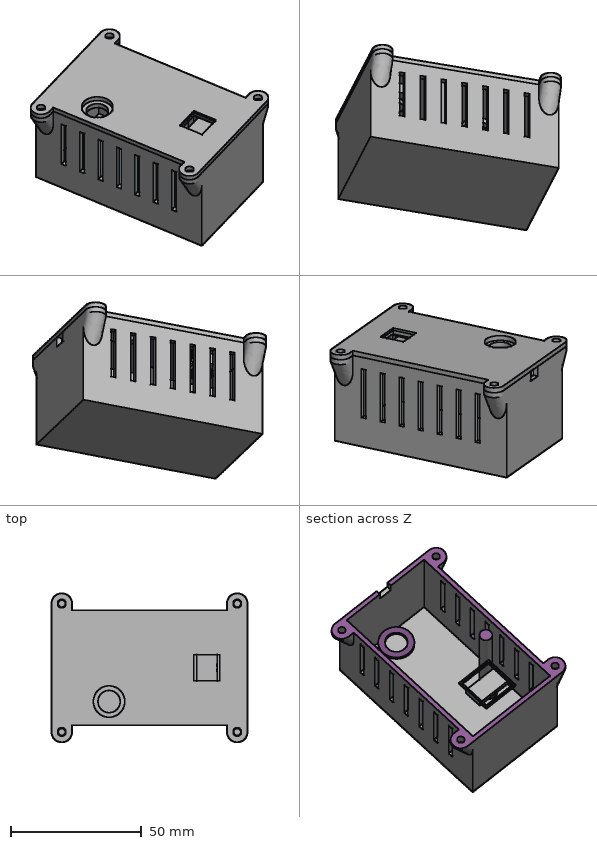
import cadquery as cq
import math

case_length = 75.0
case_width = 44.0
total_width = 57.0
total_height = 39.0
wall = 2.0
floor = 2.0
lid_thickness = 1.95
case_height = total_height - lid_thickness

lug_radius = 4.0
lug_height = 2.0
lug_x = case_length / 2 - lug_radius
lug_y = total_width / 2 - lug_radius
lug_slope = 60.0
lid_screw_diameter = 3.2
case_screw_diameter = 2.7
case_screw_depth = 4.9

slot_count = 7
slot_span = 49.8
slot_pitch = slot_span / (slot_count - 1)
slot_width = 2.0
slot_height = 20.1
slot_bottom = 12.0

notch_width = 5.6
notch_depth = 4.05

post_diameter = 5.0
post_x = 5.4
post_y = 14.5

button_x = -15.45
button_y = -12.9
button_diameter = 12.0
collar_bore = 8.5
collar_height = 2.0
collar_wall = 1.0
collar_diameter = button_diameter + 2 * collar_wall

window_x = 21.9
window_size = 10.0
lid_lip = 1.0
insert_top = total_height - lid_lip
insert_size = 15.75
insert_frame_thickness = 1.5
insert_skirt_height = 2.0
insert_skirt_bottom = case_height - insert_skirt_height
insert_draft = 9.0
insert_skirt_wall = 0.75
bridge_width = 7.9
bridge_thickness = 2.0
stem_diameter = bridge_width
stem_bottom = 31.0


def block(size_x, size_y, bottom, top, x=0.0, y=0.0):
    """Upright rectangular block centred on (x, y)."""
    height = top - bottom
    return cq.Workplane("XY", origin=(x, y, bottom)).rect(size_x, size_y).extrude(height)


def cylinder(diameter, bottom, top, x, y):
    """Upright cylinder centred on (x, y)."""
    height = top - bottom
    return cq.Workplane("XY", origin=(x, y, bottom)).circle(diameter / 2).extrude(height)


def lug_corners():
    """Signs of X and Y for the four corners."""
    return [(side_x, side_y) for side_x in (-1, 1) for side_y in (-1, 1)]


def lug_outline(side_x, side_y, z):
    """Strip reaching out from under the case, with a round outer end."""
    inner_y = lug_y - 2 * lug_radius
    return (
        cq.Workplane("XY", origin=(side_x * lug_x, 0, z))
        .moveTo(-lug_radius, side_y * inner_y)
        .lineTo(-lug_radius, side_y * lug_y)
        .threePointArc((0, side_y * (lug_y + lug_radius)), (lug_radius, side_y * lug_y))
        .lineTo(lug_radius, side_y * inner_y)
        .close()
    )


def lug_support(side_x, side_y):
    """Lug outline carried down and inward at a slant until its tip meets the outer wall face."""
    outline = lug_outline(side_x, side_y, case_height - lug_height).val()
    inward = (total_width - case_width) / 2
    slant = cq.Vector(0, -side_y * inward, -inward * math.tan(math.radians(lug_slope)))
    return cq.Workplane("XY").add(cq.Solid.extrudeLinear(outline, [], slant))


def make_case():
    case = block(case_length, case_width, 0, case_height)
    for side_x, side_y in lug_corners():
        case = case.union(lug_outline(side_x, side_y, case_height - lug_height).extrude(lug_height))
        case = case.union(lug_support(side_x, side_y))

    case = case.cut(block(case_length - 2 * wall, case_width - 2 * wall, floor, case_height))
    case = case.union(cylinder(post_diameter, floor, case_height, post_x, post_y))

    for side_x, side_y in lug_corners():
        case = case.cut(cylinder(case_screw_diameter, case_height - case_screw_depth, case_height,
                                 side_x * lug_x, side_y * lug_y))

    for index in range(slot_count):
        slot_x = (index - (slot_count - 1) / 2) * slot_pitch
        for side_y in (-1, 1):
            wall_y = side_y * (case_width - wall) / 2
            case = case.cut(block(slot_width, wall, slot_bottom, slot_bottom + slot_height, slot_x, wall_y))

    notch_x = -(case_length - wall) / 2
    return case.cut(block(wall, notch_width, case_height - notch_depth, case_height, notch_x))


def make_lid():
    lid = block(case_length, case_width, case_height, total_height)
    for side_x, side_y in lug_corners():
        lid = lid.union(lug_outline(side_x, side_y, case_height).extrude(lid_thickness))
    for side_x, side_y in lug_corners():
        lid = lid.cut(cylinder(lid_screw_diameter, case_height, total_height,
                               side_x * lug_x, side_y * lug_y))

    collar_bottom = case_height - collar_height
    lid = lid.union(cylinder(collar_diameter, collar_bottom, case_height, button_x, button_y))
    lid = lid.cut(cylinder(button_diameter, case_height, total_height, button_x, button_y))
    lid = lid.cut(cylinder(collar_bore, collar_bottom, case_height, button_x, button_y))

    lid = lid.cut(block(window_size, window_size, case_height, total_height, window_x))
    return lid.cut(block(insert_size, insert_size, case_height, insert_top, window_x))


def make_insert():
    rim = block(insert_size, insert_size, case_height, insert_top, window_x)
    skirt = (
        cq.Workplane("XY", origin=(window_x, 0, case_height))
        .rect(insert_size, insert_size)
        .extrude(-insert_skirt_height, taper=insert_draft)
    )
    insert = rim.union(skirt)

    frame_bottom = insert_top - insert_frame_thickness
    skirt_inset = insert_skirt_height * math.tan(math.radians(insert_draft))
    cavity_size = insert_size - 2 * (skirt_inset + insert_skirt_wall)
    insert = insert.cut(block(window_size, window_size, frame_bottom, insert_top, window_x))
    insert = insert.cut(block(cavity_size, cavity_size, insert_skirt_bottom, frame_bottom, window_x))

    bridge_bottom = insert_skirt_bottom - bridge_thickness
    bridge_length = insert_size - 2 * skirt_inset
    insert = insert.union(block(bridge_width, bridge_length, bridge_bottom, insert_skirt_bottom, window_x))
    return insert.union(cylinder(stem_diameter, stem_bottom, bridge_bottom, window_x, 0))


case = make_case()
lid = make_lid()
insert = make_insert()

bodies = [body.solids().val() for body in (case, lid, insert)]
result = cq.Compound.makeCompound(bodies)